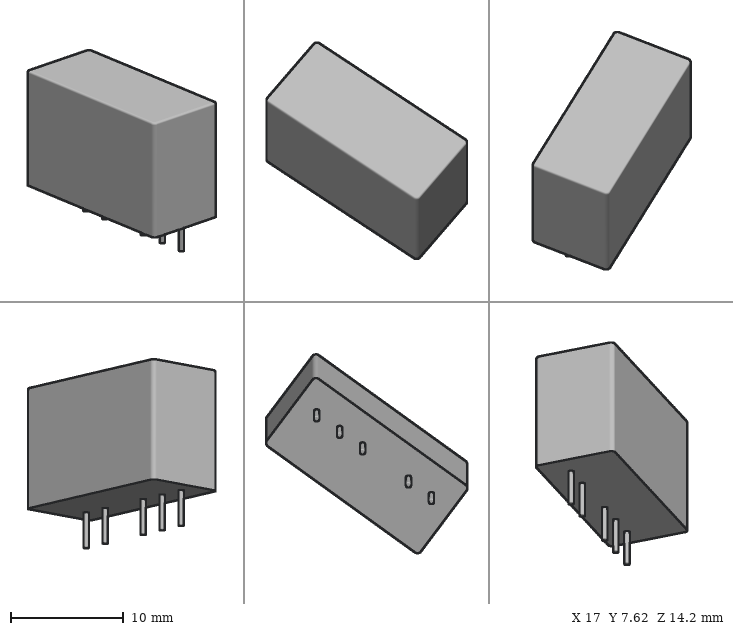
import cadquery as cq

length = 17.0
width = 7.62
overall_height = 14.2
pin_length = 3.21
body_height = overall_height - pin_length
side_edge_radius = 0.39
top_edge_radius = 0.2

pin_diameter = 0.5
pin_tip_radius = 0.1
pin_pitch = 2.53
first_pin_x = -6.19
pin_row_y = 1.3
pin_positions = (0, 1, 3, 4, 5)


def make_housing():
    """Box with rounded upright edges and a smaller rounding around the top."""
    housing = cq.Workplane("XY").box(length, width, body_height, centered=(True, True, False))
    housing = housing.edges("|Z").fillet(side_edge_radius)
    return housing.faces(">Z").edges().fillet(top_edge_radius)


def make_pin(x):
    """Round pin hanging from the base, with a rounded lower tip."""
    pin = cq.Workplane("XY").center(x, pin_row_y).circle(pin_diameter / 2).extrude(-pin_length)
    return pin.faces("<Z").edges().fillet(pin_tip_radius)


result = make_housing()
for position in pin_positions:
    result = result.union(make_pin(first_pin_x + position * pin_pitch))